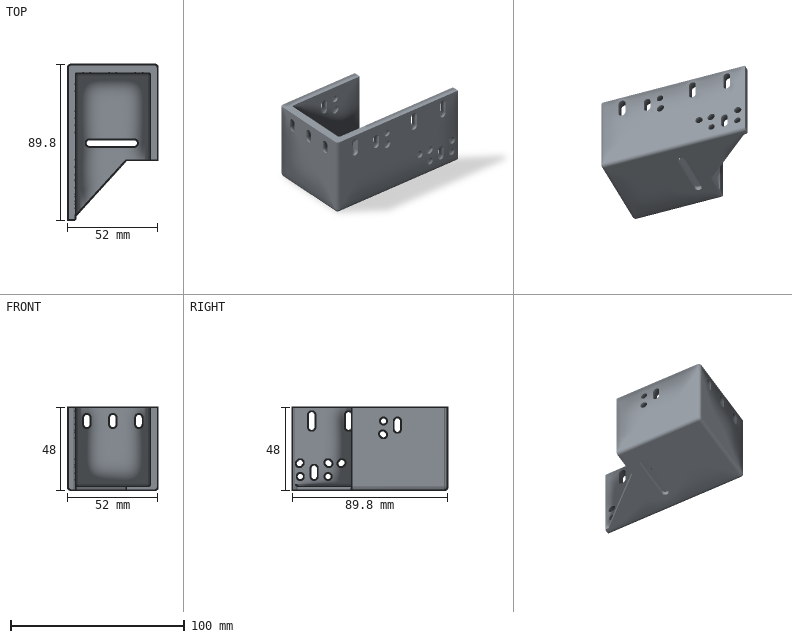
import cadquery as cq

WIDTH = 52.0
LENGTH = 89.75
HEIGHT = 48.0

SIDE_WALL = 4.5
BACK_WALL = 5.0
FLOOR = 2.5

SHORT_WALL_LENGTH = 55.35
SLANT_START_X = 33.65
SLANT_END_Y = 2.4

OUTER_RADIUS = 2.0
INNER_RADIUS = 1.0
OPEN_END_RADIUS = 1.0
SLANT_CORNER_RADIUS = 1.0

HOLE_DIAMETER = 4.0
SMALL_SLOT_WIDTH = 4.0
SMALL_SLOT_LENGTH = 8.75
MOUNT_SLOT_WIDTH = 4.2
MOUNT_SLOT_LENGTH = 11.2
BACK_SLOT_LENGTH = 8.0
FLOOR_SLOT_LENGTH = 30.0
ADJUST_TRAVEL = 0.7

TOP_MARGIN = 8.0
MOUNT_SLOT_DISTANCES = (13.4, 57.1, 78.4)

HOLE_PITCH = 8.0
ADJUST_RISE = 7.7
UPPER_GROUP_DISTANCE = 29.0
LOWER_GROUP_DISTANCE = 77.0
SMALL_SLOT_MARGIN = 10.4
HOLE_MARGIN = 8.0
ADJUST_OFFSET = 8.25
FAR_ADJUST_OFFSET = 15.75

BACK_SLOT_PITCH = 15.0
FLOOR_SLOT_X = 25.4
FLOOR_SLOT_DISTANCE = 45.4

VERTICAL = 90
DIAGONAL = 45

BACK_AND_BOTTOM_EDGES = "(|Z and >Y) or (<Z and (not <Y))"

short_wall_end_y = LENGTH - SHORT_WALL_LENGTH


def make_shell():
    """Rounded tray, open at the top and at the front."""
    block = cq.Workplane("XY").box(WIDTH, LENGTH, HEIGHT, centered=False)
    block = block.edges(BACK_AND_BOTTOM_EDGES).fillet(OUTER_RADIUS)
    cavity_length = LENGTH - BACK_WALL
    cavity = (
        cq.Workplane("XY")
        .box(WIDTH - 2 * SIDE_WALL, cavity_length, HEIGHT - FLOOR, centered=False)
        .edges(BACK_AND_BOTTOM_EDGES)
        .fillet(INNER_RADIUS)
        .translate((SIDE_WALL, 0, FLOOR))
    )
    return block.cut(cavity)


def open_end_cutter():
    """Removes the front of the short wall and the slanted corner of the floor.

    Its rounded edge leaves a small fillet where the slanted edge meets the long wall.
    """
    return (
        cq.Workplane("XY")
        .moveTo(SIDE_WALL, 0)
        .lineTo(WIDTH, 0)
        .lineTo(WIDTH, short_wall_end_y)
        .lineTo(SLANT_START_X, short_wall_end_y)
        .lineTo(SIDE_WALL, SLANT_END_Y)
        .close()
        .extrude(HEIGHT)
        .edges(cq.selectors.NearestToPointSelector((SIDE_WALL, SLANT_END_Y, HEIGHT / 2)))
        .fillet(SLANT_CORNER_RADIUS)
    )


def side_slot(distance, z, length, width, angle, depth):
    """Slot through the side walls, cut from the long wall to the given depth."""
    return (
        cq.Workplane("YZ")
        .center(LENGTH - distance, z)
        .slot2D(length, width, angle)
        .extrude(depth)
    )


def side_hole(distance, z, depth):
    """Round hole through the side walls, cut from the long wall to the given depth."""
    return (
        cq.Workplane("YZ")
        .center(LENGTH - distance, z)
        .circle(HOLE_DIAMETER / 2)
        .extrude(depth)
    )


def adjusting_slot(distance, z, direction, depth):
    """Short slot at 45 degrees; direction is +1 or -1 for its lean along Y."""
    length = HOLE_DIAMETER + ADJUST_TRAVEL
    return side_slot(distance, z, length, HOLE_DIAMETER, direction * DIAGONAL, depth)


def cut_mount_slots(body):
    z = HEIGHT - TOP_MARGIN
    for distance in MOUNT_SLOT_DISTANCES:
        body = body.cut(
            side_slot(distance, z, MOUNT_SLOT_LENGTH, MOUNT_SLOT_WIDTH, VERTICAL, SIDE_WALL)
        )
    return body


def cut_upper_group(body):
    """Slot, hole and adjusting slot passing through both side walls."""
    slot_z = HEIGHT - SMALL_SLOT_MARGIN
    hole_z = HEIGHT - HOLE_MARGIN
    distance = UPPER_GROUP_DISTANCE
    body = body.cut(side_slot(distance, slot_z, SMALL_SLOT_LENGTH, SMALL_SLOT_WIDTH, VERTICAL, WIDTH))
    body = body.cut(side_hole(distance + HOLE_PITCH, hole_z, WIDTH))
    return body.cut(adjusting_slot(distance + ADJUST_OFFSET, hole_z - ADJUST_RISE, -1, WIDTH))


def cut_lower_group(body):
    """Slot between two holes, with three adjusting slots above, in the long wall."""
    distance = LOWER_GROUP_DISTANCE
    adjust_z = HOLE_MARGIN + ADJUST_RISE
    body = body.cut(
        side_slot(distance, SMALL_SLOT_MARGIN, SMALL_SLOT_LENGTH, SMALL_SLOT_WIDTH, VERTICAL, SIDE_WALL)
    )
    for side in (-1, 1):
        body = body.cut(side_hole(distance + side * HOLE_PITCH, HOLE_MARGIN, SIDE_WALL))
    for offset, direction in ((-FAR_ADJUST_OFFSET, 1), (-ADJUST_OFFSET, -1), (ADJUST_OFFSET, 1)):
        body = body.cut(adjusting_slot(distance + offset, adjust_z, direction, SIDE_WALL))
    return body


def cut_back_slots(body):
    z = HEIGHT - TOP_MARGIN
    for step in (-1, 0, 1):
        slot = (
            cq.Workplane("XZ", origin=(0, LENGTH, 0))
            .center(WIDTH / 2 + step * BACK_SLOT_PITCH, z)
            .slot2D(BACK_SLOT_LENGTH, MOUNT_SLOT_WIDTH, VERTICAL)
            .extrude(BACK_WALL)
        )
        body = body.cut(slot)
    return body


def cut_floor_slot(body):
    slot = (
        cq.Workplane("XY")
        .center(FLOOR_SLOT_X, LENGTH - FLOOR_SLOT_DISTANCE)
        .slot2D(FLOOR_SLOT_LENGTH, MOUNT_SLOT_WIDTH)
        .extrude(FLOOR)
    )
    return body.cut(slot)


def round_open_end(body):
    """Rounds the inner vertical edge at the free end of the long wall."""
    end_edge = cq.selectors.NearestToPointSelector((SIDE_WALL, 0, HEIGHT / 2))
    return body.edges(end_edge).fillet(OPEN_END_RADIUS)


bracket = make_shell().cut(open_end_cutter())
bracket = round_open_end(bracket)
bracket = cut_mount_slots(bracket)
bracket = cut_upper_group(bracket)
bracket = cut_lower_group(bracket)
bracket = cut_back_slots(bracket)
result = cut_floor_slot(bracket)